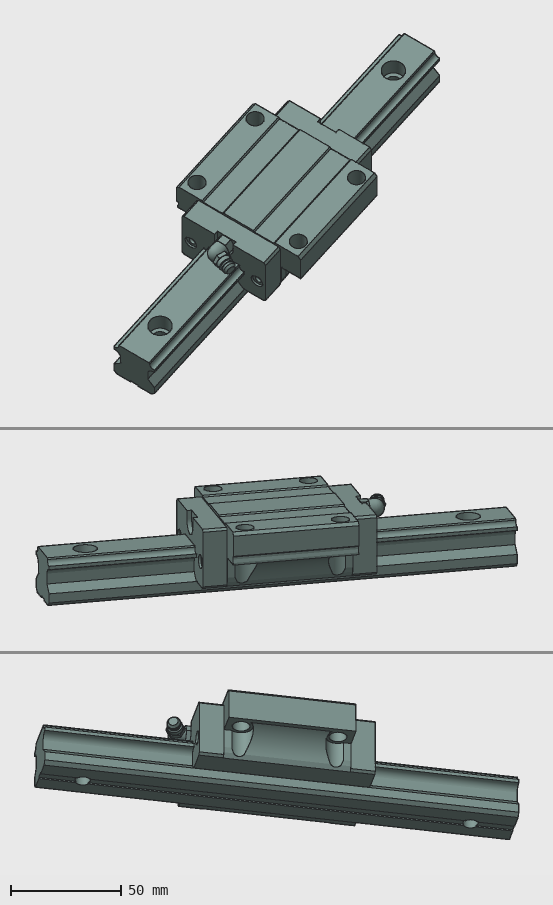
import cadquery as cq
import math


RAIL_LENGTH = 220.0
RAIL_HEIGHT = 22.5
RAIL_HALF_WIDTH = 11.5
RAIL_TOP_HALF_WIDTH = 8.4
RAIL_SHOULDER_HALF_WIDTH = 8.8
RAIL_WAIST_HALF_WIDTH = 7.7
RAIL_FOOT_TOP = 6.2
RAIL_WAIST_BOTTOM = 9.7
RAIL_WAIST_TOP = 14.5
RAIL_LIP_BOTTOM = 17.5
RAIL_LIP_TOP = 19.4
RAIL_SHOULDER_TOP = 21.8
TRACK_BULGE = 0.7
RAIL_FOOT_CHAMFER = 1.8
RELIEF_WIDTH = 4.2
RELIEF_DEPTH = 0.7
RAIL_HOLE_PITCH = 180.0
RAIL_HOLE_DIAMETER = 7.0
RAIL_COUNTERBORE_DIAMETER = 11.0
RAIL_COUNTERBORE_DEPTH = 9.0

CARRIAGE_TOP = 36.0
CARRIAGE_BOTTOM = 6.4
BLOCK_LENGTH = 59.0
FLANGE_HALF_WIDTH = 35.0
FLANGE_BOTTOM = 20.5
FLANGE_CHAMFER = 1.5
PAD_INNER_EDGE = 19.8
CENTRE_PAD_EDGE = 8.4
PAD_RELIEF_DEPTH = 0.7
PAD_RELIEF_SLOPE = 0.7
SKIRT_TOP_HALF_WIDTH = 32.5
SKIRT_ARC_X = 26.5
SKIRT_ARC_Z = 15.2
SKIRT_END_HALF_WIDTH = 24.2
SKIRT_BOTTOM_HALF_WIDTH = 23.5
SKIRT_BOTTOM = 8.5
SKIRT_UNDERSIDE_HALF_WIDTH = 22.2
DATUM_GROOVE_TOP = 24.9
DATUM_GROOVE_BOTTOM = 22.9
DATUM_GROOVE_DEPTH = 1.0
DATUM_GROOVE_SLOPE = 0.7
DATUM_LIP_TOP = 21.3
DATUM_LIP_SETBACK = 0.7
MOUNT_HOLE_PITCH_X = 57.0
MOUNT_HOLE_PITCH_Y = 44.9
MOUNT_HOLE_DIAMETER = 8.1
SCREW_HEAD_RADIUS = 5.5

CARRIAGE_LENGTH = 81.6
CAP_LENGTH = (CARRIAGE_LENGTH - BLOCK_LENGTH) / 2
CAP_HALF_WIDTH = 23.5
CAP_TOP = 34.8
CAP_CHAMFER = 1.0
CAP_SCREW_SPACING = 37.2
CAP_SCREW_Z = 18.0
CAP_SCREW_DIAMETER = 6.4
CAP_SCREW_RECESS = 1.0
CAP_SCREW_SOCKET_DEPTH = 2.2
CAP_SCREW_SOCKET_DIAMETER = 3.3
NOTCH_WIDTH = 10.3
NOTCH_DEPTH = 2.2

NIPPLE_Z = 30.4
BASE_HEX_ACROSS_FLATS = 8.0
BASE_HEX_LENGTH = 4.2
ELBOW_RADIUS = 4.2
ELBOW_LENGTH = 3.5
OUTLET_ANGLE = 20.0
OUTLET_HEX_ACROSS_FLATS = 7.5
OUTLET_HEX_START = 3.3
OUTLET_HEX_END = 5.3
COLLAR_RADIUS = 3.5
COLLAR_END = 7.5
NECK_RADIUS = 2.6
NECK_END = 8.8
HEAD_RADIUS = 3.0
HEAD_END = 10.3
TIP_RADIUS = 2.2
TIP_END = 11.7


def extrude_along_rail(profile, length):
    """Extrude an XZ profile symmetrically about Y = 0."""
    return profile.extrude(length / 2, both=True)


def rail_section():
    """Closed rail outline: the right half, mirrored onto the left."""
    upper_track_middle = (
        (RAIL_SHOULDER_HALF_WIDTH + RAIL_HALF_WIDTH) / 2 - TRACK_BULGE,
        (RAIL_SHOULDER_TOP + RAIL_LIP_TOP) / 2 - TRACK_BULGE,
    )
    lower_track_middle = (
        (RAIL_WAIST_HALF_WIDTH + RAIL_HALF_WIDTH) / 2 - TRACK_BULGE,
        (RAIL_WAIST_TOP + RAIL_LIP_BOTTOM) / 2 + TRACK_BULGE,
    )
    return (
        cq.Workplane("XZ")
        .moveTo(0, 0)
        .lineTo(RAIL_HALF_WIDTH - RAIL_FOOT_CHAMFER, 0)
        .lineTo(RAIL_HALF_WIDTH, RAIL_FOOT_CHAMFER)
        .lineTo(RAIL_HALF_WIDTH, RAIL_FOOT_TOP)
        .lineTo(RAIL_WAIST_HALF_WIDTH, RAIL_WAIST_BOTTOM)
        .lineTo(RAIL_WAIST_HALF_WIDTH, RAIL_WAIST_TOP)
        .threePointArc(lower_track_middle, (RAIL_HALF_WIDTH, RAIL_LIP_BOTTOM))
        .lineTo(RAIL_HALF_WIDTH, RAIL_LIP_TOP)
        .threePointArc(upper_track_middle, (RAIL_SHOULDER_HALF_WIDTH, RAIL_SHOULDER_TOP))
        .lineTo(RAIL_TOP_HALF_WIDTH, RAIL_HEIGHT)
        .lineTo(0, RAIL_HEIGHT)
        .mirrorY()
    )


def rail_bar(length):
    """Plain rail bar, also used to cut the carriage opening."""
    return extrude_along_rail(rail_section(), length)


def make_rail():
    relief = cq.Workplane("XY").box(
        RELIEF_WIDTH, RAIL_LENGTH, RELIEF_DEPTH, centered=(True, True, False)
    )
    return (
        rail_bar(RAIL_LENGTH)
        .cut(relief)
        .faces(">Z")
        .workplane(origin=(0, 0, RAIL_HEIGHT))
        .pushPoints([(0, -RAIL_HOLE_PITCH / 2), (0, RAIL_HOLE_PITCH / 2)])
        .cboreHole(RAIL_HOLE_DIAMETER, RAIL_COUNTERBORE_DIAMETER, RAIL_COUNTERBORE_DEPTH)
    )


def block_body():
    """Flanged block with relieved top and concave skirts under both flanges."""
    relief_z = CARRIAGE_TOP - PAD_RELIEF_DEPTH
    outline = (
        cq.Workplane("XZ")
        .moveTo(0, CARRIAGE_BOTTOM)
        .lineTo(SKIRT_UNDERSIDE_HALF_WIDTH, CARRIAGE_BOTTOM)
        .lineTo(SKIRT_BOTTOM_HALF_WIDTH, SKIRT_BOTTOM)
        .threePointArc((SKIRT_ARC_X, SKIRT_ARC_Z), (SKIRT_TOP_HALF_WIDTH, FLANGE_BOTTOM))
        .lineTo(FLANGE_HALF_WIDTH, FLANGE_BOTTOM)
        .lineTo(FLANGE_HALF_WIDTH, CARRIAGE_TOP - FLANGE_CHAMFER)
        .lineTo(FLANGE_HALF_WIDTH - FLANGE_CHAMFER, CARRIAGE_TOP)
        .lineTo(PAD_INNER_EDGE + PAD_RELIEF_SLOPE, CARRIAGE_TOP)
        .lineTo(PAD_INNER_EDGE, relief_z)
        .lineTo(CENTRE_PAD_EDGE + PAD_RELIEF_SLOPE, relief_z)
        .lineTo(CENTRE_PAD_EDGE, CARRIAGE_TOP)
        .lineTo(0, CARRIAGE_TOP)
        .mirrorY()
    )
    return extrude_along_rail(outline, BLOCK_LENGTH)


def datum_groove():
    """Groove along the -X flange side, with a set-back lip below it."""
    groove_x = -FLANGE_HALF_WIDTH + DATUM_GROOVE_DEPTH
    lip_x = -FLANGE_HALF_WIDTH + DATUM_LIP_SETBACK
    profile = cq.Workplane("XZ").polyline(
        [
            (-FLANGE_HALF_WIDTH, DATUM_GROOVE_TOP),
            (groove_x, DATUM_GROOVE_TOP - DATUM_GROOVE_SLOPE),
            (groove_x, DATUM_GROOVE_BOTTOM),
            (lip_x, DATUM_LIP_TOP),
            (lip_x, FLANGE_BOTTOM),
            (-FLANGE_HALF_WIDTH, FLANGE_BOTTOM),
        ]
    )
    return extrude_along_rail(profile.close(), BLOCK_LENGTH)


def mount_points():
    return (
        cq.Workplane("XY")
        .workplane(offset=FLANGE_BOTTOM)
        .rect(MOUNT_HOLE_PITCH_X, MOUNT_HOLE_PITCH_Y, forConstruction=True)
        .vertices()
    )


def mount_holes():
    return mount_points().circle(MOUNT_HOLE_DIAMETER / 2).extrude(CARRIAGE_TOP - FLANGE_BOTTOM)


def skirt_clearance():
    """Room for screw heads under the flanges, open to the block ends along flat skirt sides."""
    depth = FLANGE_BOTTOM - CARRIAGE_BOTTOM
    clearance = mount_points().circle(SCREW_HEAD_RADIUS).extrude(-depth)
    width = FLANGE_HALF_WIDTH - SKIRT_END_HALF_WIDTH
    length = (BLOCK_LENGTH - MOUNT_HOLE_PITCH_Y) / 2
    for side_x in (-1, 1):
        for side_y in (-1, 1):
            end_cut = cq.Workplane("XY").box(width, length, depth).translate(
                (
                    side_x * (SKIRT_END_HALF_WIDTH + width / 2),
                    side_y * (BLOCK_LENGTH - length) / 2,
                    CARRIAGE_BOTTOM + depth / 2,
                )
            )
            clearance = clearance.union(end_cut)
    return clearance


def make_front_cap():
    """End cap at -Y with its two screw recesses and the notch for the nipple."""
    face_y = -CARRIAGE_LENGTH / 2
    cap = (
        cq.Workplane("XY")
        .box(2 * CAP_HALF_WIDTH, CAP_LENGTH, CAP_TOP - CARRIAGE_BOTTOM)
        .edges("|Y")
        .chamfer(CAP_CHAMFER)
        .translate((0, face_y + CAP_LENGTH / 2, (CAP_TOP + CARRIAGE_BOTTOM) / 2))
    )
    face = cq.Workplane("XZ", origin=(0, face_y, 0))
    notch = face.center(0, NIPPLE_Z).circle(NOTCH_WIDTH / 2).extrude(-NOTCH_DEPTH)
    notch_mouth = (
        face.center(0, (NIPPLE_Z + CARRIAGE_TOP) / 2)
        .rect(NOTCH_WIDTH, CARRIAGE_TOP - NIPPLE_Z)
        .extrude(-NOTCH_DEPTH)
    )
    screw_points = [(-CAP_SCREW_SPACING / 2, CAP_SCREW_Z), (CAP_SCREW_SPACING / 2, CAP_SCREW_Z)]
    screws = face.pushPoints(screw_points)
    screw_recess = screws.circle(CAP_SCREW_DIAMETER / 2).extrude(-CAP_SCREW_RECESS)
    screw_socket = screws.circle(CAP_SCREW_SOCKET_DIAMETER / 2).extrude(
        -CAP_SCREW_RECESS - CAP_SCREW_SOCKET_DEPTH
    )
    return cap.cut(notch).cut(notch_mouth).cut(screw_recess).cut(screw_socket)


def make_carriage():
    block = block_body().cut(datum_groove()).cut(skirt_clearance()).cut(mount_holes())
    front_cap = make_front_cap()
    rear_cap = front_cap.mirror("XZ")
    return block.union(front_cap).union(rear_cap).cut(rail_bar(RAIL_LENGTH))


def hex_diameter(across_flats):
    """Diameter over the corners of a hexagon."""
    return across_flats / math.cos(math.pi / 6)


def nipple_outlet():
    """Outlet along local +X from the elbow centre: hexagon, collar, neck and tapered head."""
    hexagon = (
        cq.Workplane("YZ", origin=(OUTLET_HEX_START, 0, 0))
        .polygon(6, hex_diameter(OUTLET_HEX_ACROSS_FLATS))
        .extrude(OUTLET_HEX_END - OUTLET_HEX_START)
    )
    turned = (
        cq.Workplane("XY")
        .polyline(
            [
                (OUTLET_HEX_START, 0),
                (OUTLET_HEX_START, COLLAR_RADIUS),
                (COLLAR_END, COLLAR_RADIUS),
                (COLLAR_END, NECK_RADIUS),
                (NECK_END, NECK_RADIUS),
                (NECK_END, HEAD_RADIUS),
                (HEAD_END, HEAD_RADIUS),
                (TIP_END, TIP_RADIUS),
                (TIP_END, 0),
            ]
        )
        .close()
        .revolve(360, (0, 0, 0), (1, 0, 0))
    )
    return hexagon.union(turned)


def make_nipple():
    seat_y = -CARRIAGE_LENGTH / 2 + NOTCH_DEPTH
    shank_y = seat_y - BASE_HEX_LENGTH
    elbow_y = shank_y - ELBOW_LENGTH
    base = cq.Workplane("XZ", origin=(0, seat_y, NIPPLE_Z)).polygon(
        6, hex_diameter(BASE_HEX_ACROSS_FLATS)
    )
    shank = cq.Workplane("XZ", origin=(0, shank_y, NIPPLE_Z)).circle(ELBOW_RADIUS)
    elbow_ball = cq.Workplane("XY", origin=(0, elbow_y, NIPPLE_Z)).sphere(ELBOW_RADIUS)
    outlet = (
        nipple_outlet()
        .rotate((0, 0, 0), (0, 0, 1), -OUTLET_ANGLE)
        .translate((0, elbow_y, NIPPLE_Z))
    )
    return (
        base.extrude(BASE_HEX_LENGTH)
        .union(shank.extrude(ELBOW_LENGTH))
        .union(elbow_ball)
        .union(outlet)
    )


rail = make_rail()
carriage = make_carriage()
nipple = make_nipple()

result = cq.Compound.makeCompound([rail.val(), carriage.val(), nipple.val()])